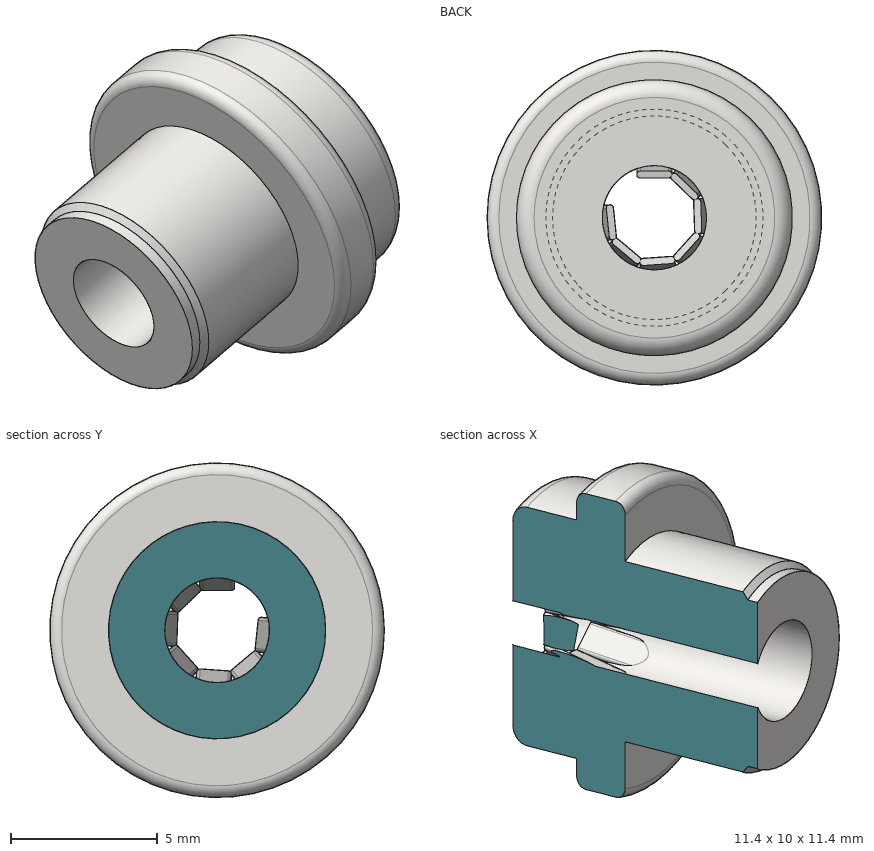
import cadquery as cq
import math

total_length = 10.0
head_length = 2.6
flange_length = 2.0
neck_length = total_length - flange_length - head_length
tip_length = 0.4
chamfer_length = 0.2

head_radius = 4.7
flange_radius = 5.7
neck_radius = 3.7
tip_radius = 3.47
bore_radius = 1.775

head_fillet = 0.6
flange_fillet = 0.4

finger_count = 7
finger_pitch = 44.0
first_finger_angle = 90.0
finger_tip_radius = 1.35
finger_width = 1.2
finger_thickness = 0.25
finger_edge_fillet = 0.12
finger_slope = 10.0
finger_root_depth = 0.1
finger_tip_y = total_length - head_length / 2


def y_cylinder(radius, y_start, length):
    """Solid cylinder along +Y from y_start."""
    return cq.Workplane("XZ", origin=(0, y_start, 0)).circle(radius).extrude(-length)


def make_body():
    """Stepped round bushing with rounded head and flange and a chamfered pilot tip."""
    flange = y_cylinder(flange_radius, neck_length, flange_length).edges().fillet(flange_fillet)
    head = y_cylinder(head_radius, neck_length, flange_length + head_length)
    head = head.faces(">Y").edges().fillet(head_fillet)
    neck_profile = [
        (0, 0),
        (tip_radius, 0),
        (tip_radius, tip_length),
        (neck_radius, tip_length + chamfer_length),
        (neck_radius, neck_length + flange_length / 2),
        (0, neck_length + flange_length / 2),
    ]
    neck = cq.Workplane("XY").polyline(neck_profile).close().revolve(360, (0, 0, 0), (0, 1, 0))
    bore = y_cylinder(bore_radius, 0, total_length)
    return neck.union(flange).union(head).cut(bore)


def make_finger():
    """Sloping plate at the +X side whose tip leans inward towards +Y."""
    radial_reach = bore_radius + finger_root_depth - finger_tip_radius
    length = radial_reach / math.sin(math.radians(finger_slope))
    plate = cq.Workplane("XY").box(length, finger_thickness, finger_width, centered=(False, False, True))
    plate = plate.edges("|X").fillet(finger_edge_fillet)
    plate = plate.rotate((0, 0, 0), (0, 0, 1), finger_slope - 90)
    return plate.translate((finger_tip_radius, finger_tip_y, 0))


result = make_body()
finger = make_finger()
for index in range(finger_count):
    angle = first_finger_angle + index * finger_pitch
    result = result.union(finger.rotate((0, 0, 0), (0, 1, 0), -angle))